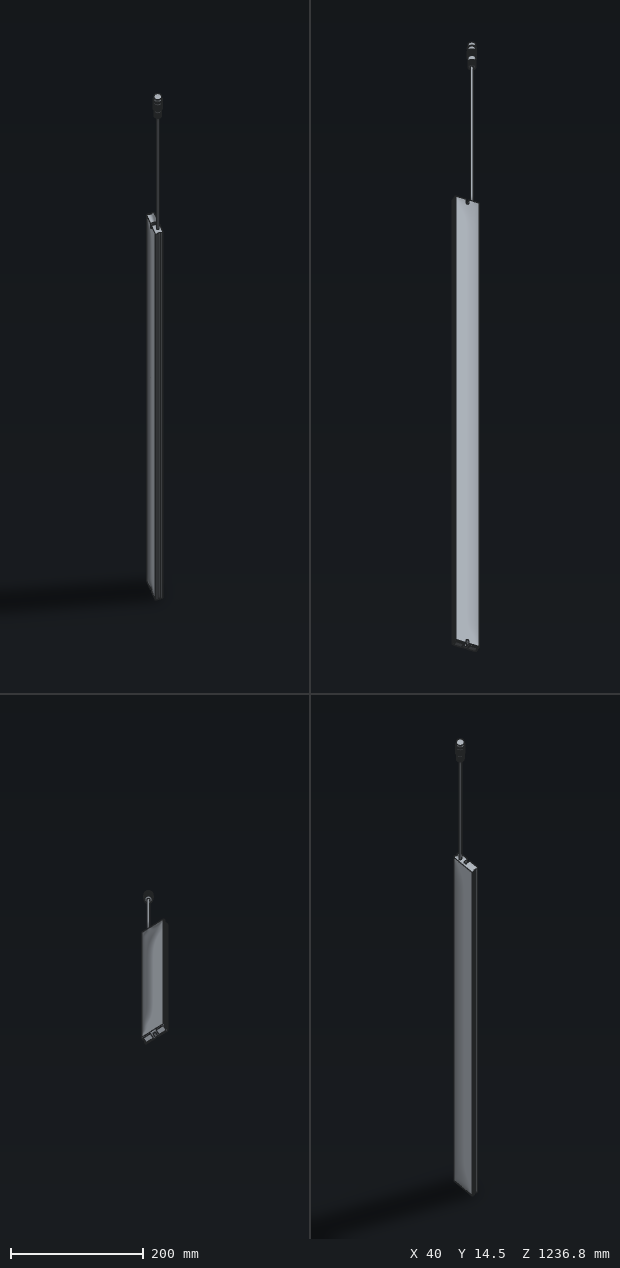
import cadquery as cq

TOTAL_HEIGHT = 1236.75

RAIL_WIDTH = 40.0
RAIL_DEPTH = 12.5
RAIL_HEIGHT = 910.0
RAIL_CORNER_CHAMFER = 1.0

FOOT_HEIGHT = 2.5
FOOT_INSET = 2.0
FOOT_GAP = 10.0

SLOT_WIDTH = 4.5
SLOT_LENGTH = 9.5
SLOT_RECESS = 8.0
UPRIGHT = 90.0

GROOVE_WIDTH = 4.0
GROOVE_DEPTH = 1.0

NUT_DIAMETER = 14.5
PLUG_OVERHANG = 2.0
PLUG_X = 10.6
PLUG_Y = RAIL_DEPTH / 2 + PLUG_OVERHANG - NUT_DIAMETER / 2
CABLE_DIAMETER = 4.5

BARREL_DIAMETER = 12.0
BARREL_LENGTH = 7.6
COLLAR_DIAMETER = 14.2
COLLAR_LENGTH = 0.8
NECK_LENGTH = 6.8
TIP_SECTIONS = [
    (BARREL_DIAMETER, BARREL_LENGTH),
    (COLLAR_DIAMETER, COLLAR_LENGTH),
    (BARREL_DIAMETER, NECK_LENGTH),
]

NUT_LENGTH = 12.5
NUT_TOP = TOTAL_HEIGHT - BARREL_LENGTH - COLLAR_LENGTH - NECK_LENGTH
NUT_BOTTOM = NUT_TOP - NUT_LENGTH

GRIP_DIAMETER = 12.0
GRIP_LENGTH = 8.0
RELIEF_DIAMETER = 10.7
RELIEF_LENGTH = 1.5
RIB_LENGTH = 2.0
RIB_COUNT = 3
RIB_SECTIONS = [(RELIEF_DIAMETER, RELIEF_LENGTH), (GRIP_DIAMETER, RIB_LENGTH)]
TAIL_SECTIONS = [(GRIP_DIAMETER, GRIP_LENGTH)] + RIB_COUNT * RIB_SECTIONS

KNURL_COUNT = 24
KNURL_DIAMETER = 1.0
FULL_TURN = 360.0


def make_rail_block(width, depth, bottom, top):
    block = cq.Workplane("XY", origin=(0, 0, bottom)).rect(width, depth).extrude(top - bottom)
    return block.edges("|Z").chamfer(RAIL_CORNER_CHAMFER)


def make_slot(end_z):
    front = cq.Workplane("XZ", origin=(0, -RAIL_DEPTH / 2, end_z))
    return front.slot2D(2 * SLOT_LENGTH, SLOT_WIDTH, UPRIGHT).extrude(-SLOT_RECESS)


def make_rail():
    rail = make_rail_block(RAIL_WIDTH, RAIL_DEPTH, FOOT_HEIGHT, RAIL_HEIGHT)
    for side in (-1, 1):
        groove = cq.Workplane("XY", origin=(side * RAIL_WIDTH / 2, 0, 0))
        rail = rail.cut(groove.rect(2 * GROOVE_DEPTH, GROOVE_WIDTH).extrude(RAIL_HEIGHT))
    foot = make_rail_block(RAIL_WIDTH - 2 * FOOT_INSET, RAIL_DEPTH - 2 * FOOT_INSET, 0, FOOT_HEIGHT)
    gap = cq.Workplane("XY").rect(FOOT_GAP, RAIL_DEPTH).extrude(FOOT_HEIGHT)
    rail = rail.union(foot.cut(gap))
    for end_z in (0, RAIL_HEIGHT):
        rail = rail.cut(make_slot(end_z))
    return rail


def make_cylinder(diameter, top, length):
    base = cq.Workplane("XY", origin=(PLUG_X, PLUG_Y, top - length))
    return base.circle(diameter / 2).extrude(length)


def make_stack(sections, top):
    stack = cq.Workplane("XY")
    for diameter, length in sections:
        stack = stack.union(make_cylinder(diameter, top, length))
        top -= length
    return stack


def make_nut():
    nut = make_cylinder(NUT_DIAMETER, NUT_TOP, NUT_LENGTH)
    base = cq.Workplane("XY", origin=(PLUG_X, PLUG_Y, NUT_BOTTOM))
    start_angle = FULL_TURN / KNURL_COUNT / 2
    notches = base.polarArray(NUT_DIAMETER / 2, start_angle, FULL_TURN, KNURL_COUNT)
    return nut.cut(notches.circle(KNURL_DIAMETER / 2).extrude(NUT_LENGTH))


def make_plug():
    tip = make_stack(TIP_SECTIONS, TOTAL_HEIGHT)
    tail = make_stack(TAIL_SECTIONS, NUT_BOTTOM)
    return tip.union(make_nut()).union(tail)


def make_cable():
    return make_cylinder(CABLE_DIAMETER, NUT_TOP, NUT_TOP - RAIL_HEIGHT)


result = make_rail().union(make_cable()).union(make_plug())